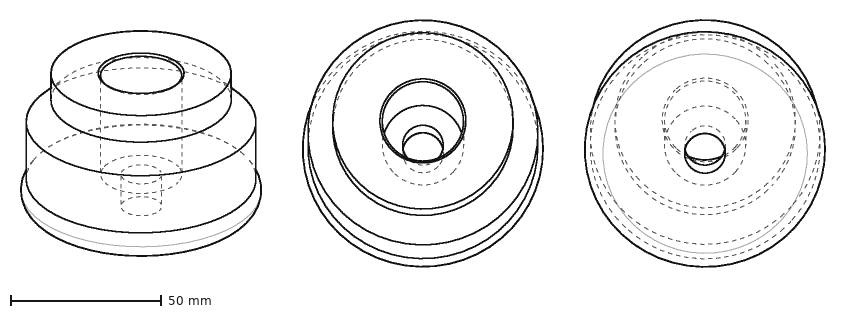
import cadquery as cq
import math

total_height = 50.0
foot_radius = 40.0
foot_edge_radius = 6.0
foot_hole_radius = 6.75

barrel_radius = 38.25
neck_radius = 30.0
neck_height = 10.0
bore_radius = 13.5
bore_chamfer = 0.8

foot_thickness = 2 * foot_edge_radius
foot_flat_radius = foot_radius - foot_edge_radius

seat_z = foot_edge_radius + math.sqrt(
    foot_edge_radius**2 - (barrel_radius - foot_flat_radius) ** 2
)

neck_bottom_z = total_height - neck_height
shoulder_height = barrel_radius - neck_radius
barrel_top_z = neck_bottom_z - shoulder_height


def revolve_about_z(outline):
    """Turn a closed radius-height outline one full turn about the Z axis."""
    return outline.close().revolve(360, (0, 0, 0), (0, 1, 0))


def make_foot():
    """Round disc with a fully rounded rim and a bolt hole through its middle."""
    outline = (
        cq.Workplane("XZ")
        .moveTo(foot_hole_radius, 0)
        .lineTo(foot_flat_radius, 0)
        .radiusArc((foot_radius, foot_edge_radius), -foot_edge_radius)
        .radiusArc((foot_flat_radius, foot_thickness), -foot_edge_radius)
        .lineTo(foot_hole_radius, foot_thickness)
    )
    return revolve_about_z(outline)


def make_housing():
    """Barrel, shoulder and neck with a chamfered through bore, seated over the foot's rim."""
    outline = (
        cq.Workplane("XZ")
        .moveTo(bore_radius, foot_thickness)
        .lineTo(foot_flat_radius, foot_thickness)
        .radiusArc((barrel_radius, seat_z), foot_edge_radius)
        .lineTo(barrel_radius, barrel_top_z)
        .lineTo(neck_radius, neck_bottom_z)
        .lineTo(neck_radius, total_height)
        .lineTo(bore_radius + bore_chamfer, total_height)
        .lineTo(bore_radius, total_height - bore_chamfer)
    )
    return revolve_about_z(outline)


foot = make_foot()
housing = make_housing()

result = cq.Compound.makeCompound([foot.val(), housing.val()])